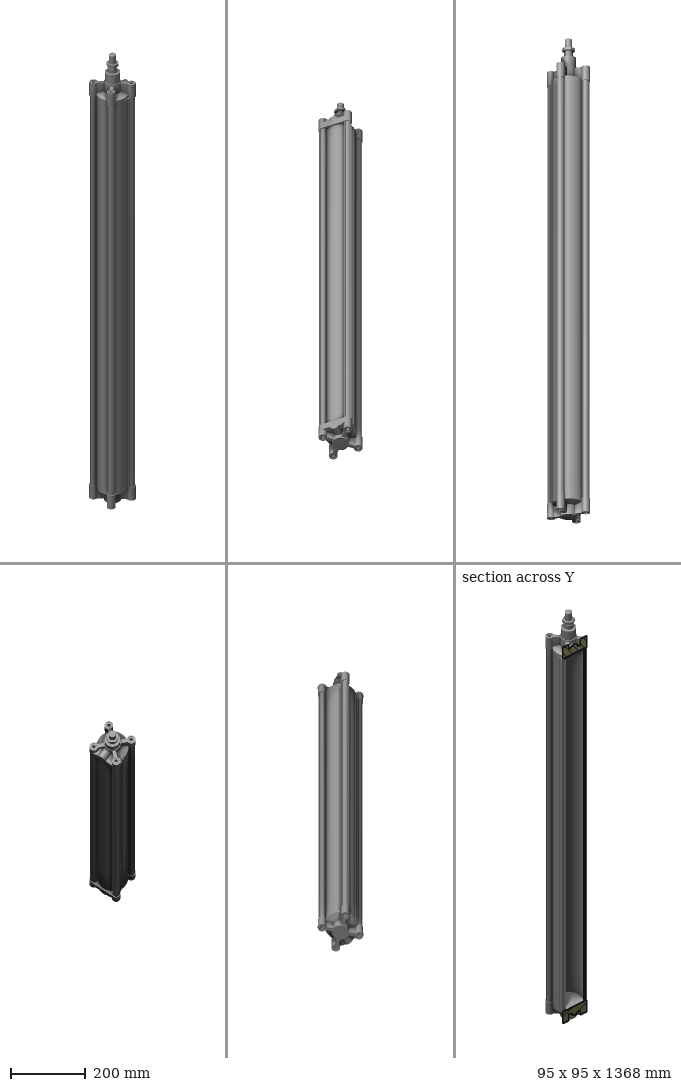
import cadquery as cq
import math

total_length = 1368.0
spigot_height = 4.0
cap_height = 41.0
rod_projection = 86.0
front_face_z = total_length - rod_projection
barrel_bottom_z = spigot_height + cap_height
barrel_top_z = front_face_z - cap_height
barrel_length = barrel_top_z - barrel_bottom_z

bore_diameter = 80.0
barrel_diameter = 86.0

cap_width = 95.0
screw_offset = 36.0
lug_radius = cap_width / 2 - screw_offset
web_width = 10.0
hub_diameter = 45.0
flange_thickness = 8.0
cone_height = 8.0
screw_recess_diameter = 16.5
screw_recess_depth = 2.0
screw_bore_diameter = 8.5
screw_bore_depth = 16.0

port_boss_diameter = 25.0
port_boss_x = 2.5
port_axis_depth = cap_height / 2
valve_boss_diameter = 12.0
valve_boss_x = 18.5

sleeve_diameter = 41.0
sleeve_top_depth = 53.0
sleeve_top_z = total_length - sleeve_top_depth

column_radius = 10.0
groove_width = 4.0
groove_depth = 2.0
rail_bottom_y = 9.0
rail_top_y = 25.0
rail_slot_width = 6.0
rail_slot_depth = 2.0

rod_diameter = 24.5
thread_diameter = 20.0
thread_length = 40.0
tip_chamfer = 1.5
flat_width = 22.0
flat_length = 8.0
nut_across_flats = 30.0
nut_thickness = 8.0
nut_top_depth = 26.0
nut_top_z = total_length - nut_top_depth

corners = [(sx * screw_offset, sy * screw_offset) for sx in (-1, 1) for sy in (-1, 1)]


def cylinder(diameter, bottom_z, height):
    return cq.Workplane("XY").workplane(offset=bottom_z).circle(diameter / 2).extrude(height)


def box_between(x0, x1, y0, y1, z0, z1):
    return cq.Workplane("XY").box(x1 - x0, y1 - y0, z1 - z0, centered=False).translate((x0, y0, z0))


def make_port_side():
    """Shelf between the two +Y lugs with the port and cushion valve bosses lying on it."""
    axis_z = cap_height - port_axis_depth
    edge = cap_width / 2
    side = box_between(-screw_offset, screw_offset, screw_offset - lug_radius, edge, 0, axis_z)
    for x, diameter in ((port_boss_x, port_boss_diameter), (valve_boss_x, valve_boss_diameter)):
        boss = cq.Workplane("XZ").center(x, axis_z).circle(diameter / 2).extrude(-edge)
        side = side.union(boss)
    return side


def make_cap():
    """End cap with its barrel face at Z = 0 and its outer face and hub collar pointing up."""
    cap = cylinder(barrel_diameter, 0, flange_thickness)
    cone = (
        cq.Workplane("XY").workplane(offset=flange_thickness).circle(barrel_diameter / 2)
        .workplane(offset=cone_height).circle(hub_diameter / 2).loft(ruled=True)
    )
    cap = cap.union(cone).union(cylinder(hub_diameter, 0, cap_height + spigot_height))
    diagonal = 2 * screw_offset * math.sqrt(2)
    for angle in (45, 135):
        web = cq.Workplane("XY").rect(diagonal, web_width).extrude(cap_height)
        cap = cap.union(web.rotate((0, 0, 0), (0, 0, 1), angle))
    lugs = cq.Workplane("XY").pushPoints(corners).circle(lug_radius).extrude(cap_height)
    cap = cap.union(lugs).union(make_port_side())
    face = cq.Workplane("XY").workplane(offset=cap_height).pushPoints(corners)
    cap = cap.cut(face.circle(screw_recess_diameter / 2).extrude(-screw_recess_depth))
    return cap.cut(face.circle(screw_bore_diameter / 2).extrude(-screw_bore_depth))


def make_front_cap():
    cap = make_cap().translate((0, 0, barrel_top_z))
    cap = cap.union(cylinder(sleeve_diameter, front_face_z, sleeve_top_z - front_face_z))
    return cap.cut(cylinder(rod_diameter, barrel_top_z, total_length - barrel_top_z))


def make_rear_cap():
    return make_cap().rotate((0, 0, 0), (0, 1, 0), 180).translate((0, 0, barrel_bottom_z))


def make_barrel():
    barrel = cq.Workplane("XY").circle(barrel_diameter / 2).extrude(barrel_length)
    barrel = barrel.union(cq.Workplane("XY").pushPoints(corners).circle(column_radius).extrude(barrel_length))
    outer = screw_offset + column_radius
    rail_face = barrel_diameter / 2
    rail_middle_y = (rail_bottom_y + rail_top_y) / 2
    rail = box_between(-rail_face, rail_face, rail_bottom_y, rail_top_y, 0, barrel_length)
    barrel = barrel.union(rail)
    slots = cq.Workplane("XY").pushPoints([(-rail_face, rail_middle_y), (rail_face, rail_middle_y)])
    barrel = barrel.cut(slots.rect(2 * rail_slot_depth, rail_slot_width).extrude(barrel_length))
    for x, y in corners:
        side_x = math.copysign(outer, x)
        side_y = math.copysign(outer, y)
        barrel = barrel.cut(
            cq.Workplane("XY").center(side_x, y).rect(2 * groove_depth, groove_width).extrude(barrel_length)
        )
        barrel = barrel.cut(
            cq.Workplane("XY").center(x, side_y).rect(groove_width, 2 * groove_depth).extrude(barrel_length)
        )
    bore = cq.Workplane("XY").circle(bore_diameter / 2).extrude(barrel_length)
    return barrel.cut(bore).translate((0, 0, barrel_bottom_z))


def make_rod():
    shoulder_z = total_length - thread_length
    rod = cylinder(rod_diameter, barrel_top_z, shoulder_z - barrel_top_z)
    radius = rod_diameter / 2
    for x0, x1 in ((-radius, -flat_width / 2), (flat_width / 2, radius)):
        rod = rod.cut(box_between(x0, x1, -radius, radius, shoulder_z - flat_length, shoulder_z))
    thread = cylinder(thread_diameter, shoulder_z, thread_length).faces(">Z").chamfer(tip_chamfer)
    return rod.union(thread)


def make_nut():
    """Hexagon nut with two corners on the Y axis and the thread hole through it."""
    across_corners = nut_across_flats / math.cos(math.pi / 6)
    nut = cq.Workplane("XY").polygon(6, across_corners).circle(thread_diameter / 2).extrude(nut_thickness)
    return nut.rotate((0, 0, 0), (0, 0, 1), 90).translate((0, 0, nut_top_z - nut_thickness))


barrel = make_barrel()
front_cap = make_front_cap()
rear_cap = make_rear_cap()
rod = make_rod()
nut = make_nut()

result = cq.Compound.makeCompound([barrel.val(), front_cap.val(), rear_cap.val(), rod.val(), nut.val()])